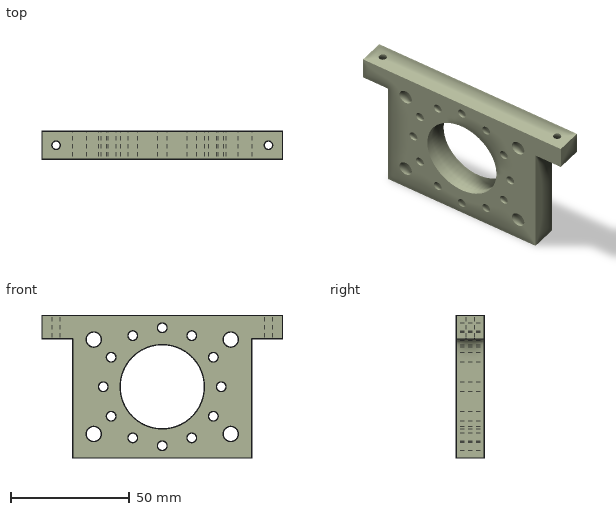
import cadquery as cq

flange_width = 102.0
thickness = 12.0
height = 60.5
body_width = 76.0
flange_height = 10.0

bore_diameter = 35.6
bolt_circle_radius = 25.0
bolt_count = 12
bolt_hole_diameter = 4.0
corner_spacing_x = 58.0
corner_spacing_z = 40.0
corner_hole_diameter = 6.3

ear_hole_spacing = 90.0
ear_hole_diameter = 3.5


def make_plate():
    """T-shaped plate centred on the origin, with the wide flange at the top."""
    body = cq.Workplane("XY").box(body_width, thickness, height)
    flange = (
        cq.Workplane("XY")
        .box(flange_width, thickness, flange_height)
        .translate((0, 0, (height - flange_height) / 2))
    )
    return body.union(flange)


def make_face_holes():
    """Cutters for the bore, its bolt circle and the corner mounting holes."""
    face = cq.Workplane("XZ").workplane(offset=-thickness / 2)
    bore = face.circle(bore_diameter / 2).extrude(thickness)
    bolts = (
        face.polarArray(bolt_circle_radius, 0, 360, bolt_count)
        .circle(bolt_hole_diameter / 2)
        .extrude(thickness)
    )
    corners = (
        face.rarray(corner_spacing_x, corner_spacing_z, 2, 2)
        .circle(corner_hole_diameter / 2)
        .extrude(thickness)
    )
    return bore.union(bolts).union(corners)


def make_ear_holes():
    """Cutters for one vertical hole in each ear, reaching from mid height to the top."""
    return (
        cq.Workplane("XY")
        .pushPoints([(-ear_hole_spacing / 2, 0), (ear_hole_spacing / 2, 0)])
        .circle(ear_hole_diameter / 2)
        .extrude(height / 2)
    )


result = make_plate().cut(make_face_holes()).cut(make_ear_holes())